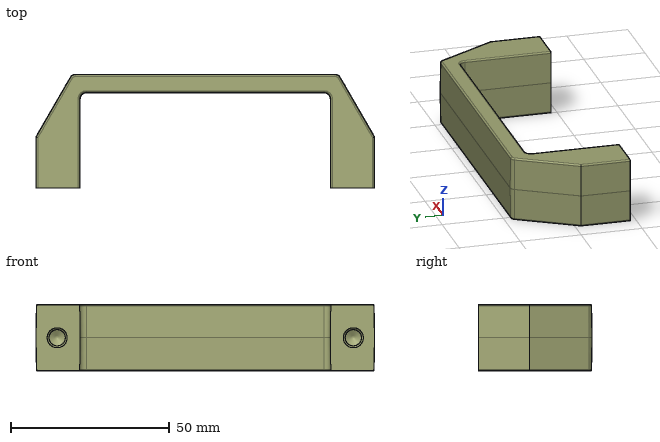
import cadquery as cq
import math

length = 107.0
depth = 36.0
height = 21.0

leg_width = 14.0
bar_thickness = 5.9
shoulder_depth = 16.2
slope_angle = 30.0
outer_corner_radius = 1.9
inner_corner_radius = 1.9

draft_angle = 1.0
rim_radius = 0.5

hole_inset = 6.7
hole_diameter = 5.1
hole_depth = 12.8
mouth_diameter = 6.3
drill_point_angle = 118.0

half_length = length / 2
half_height = height / 2
inner_half = half_length - leg_width
inner_depth = depth - bar_thickness
slope_run = (depth - shoulder_depth) * math.tan(math.radians(slope_angle))
bar_half = half_length - slope_run
foot_surplus = 5.4


def rounded_outline(points, radius):
    """Closed outline whose corners farthest along +Y are rounded."""
    return cq.Sketch().polygon([*points, points[0]]).vertices(">Y").fillet(radius)


def handle_half(direction):
    """One drafted half, built up (1) or down (-1) from the parting plane, with rounded rims."""
    outside = rounded_outline(
        [
            (-half_length, -foot_surplus),
            (-half_length, shoulder_depth),
            (-bar_half, depth),
            (bar_half, depth),
            (half_length, shoulder_depth),
            (half_length, -foot_surplus),
        ],
        outer_corner_radius,
    )
    grip_space = rounded_outline(
        [
            (-inner_half, -2 * foot_surplus),
            (-inner_half, inner_depth),
            (inner_half, inner_depth),
            (inner_half, -2 * foot_surplus),
        ],
        inner_corner_radius,
    )
    rise = direction * half_height
    body = cq.Workplane("XY").placeSketch(outside).extrude(rise, taper=draft_angle)
    opening = cq.Workplane("XY").placeSketch(grip_space).extrude(rise, taper=-draft_angle)
    rim_face = ">Z" if direction > 0 else "<Z"
    return body.cut(opening).faces(rim_face).edges().fillet(rim_radius)


def foot_hole(center_x):
    """Cutter for a countersunk hole with a conical drill point, running in from the foot along +Y."""
    radius = hole_diameter / 2
    mouth_radius = mouth_diameter / 2
    point_depth = radius / math.tan(math.radians(drill_point_angle / 2))
    return (
        cq.Workplane("XY")
        .polyline([
            (0, 0),
            (mouth_radius, 0),
            (radius, mouth_radius - radius),
            (radius, hole_depth),
            (0, hole_depth + point_depth),
        ])
        .close()
        .revolve(360, (0, 0, 0), (0, 1, 0))
        .translate((center_x, 0, 0))
    )


foot_trim = cq.Workplane("XY").box(
    length, 2 * foot_surplus, height, centered=(True, False, True)
).translate((0, -2 * foot_surplus, 0))

result = handle_half(1).union(handle_half(-1)).cut(foot_trim)
for side in (-1, 1):
    result = result.cut(foot_hole(side * (half_length - hole_inset)))